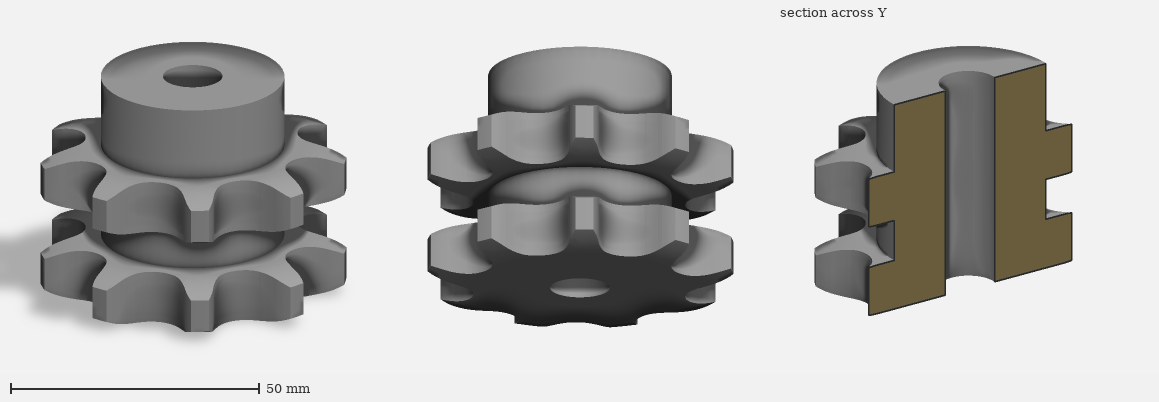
import cadquery as cq
import math


CHAIN_PITCH = 19.05
ROLLER_DIAMETER = 12.07
ROW_SPACING = 19.46

TEETH = 9
ROWS = 2
TIP_RADIUS = 31.0
PLATE_THICKNESS = 10.8
FIRST_TOOTH_ANGLE = -90.0
PITCH_RADIUS = CHAIN_PITCH / (2 * math.sin(math.pi / TEETH))

RELIEF_RADIUS = 19.0
RELIEF_DEPTH = 2.0

HUB_DIAMETER = 37.0
BORE_DIAMETER = 12.0
TOTAL_HEIGHT = 45.0

SEAT_CLEARANCE = 0.0381
SEAT_RADIUS = 0.5025 * ROLLER_DIAMETER + SEAT_CLEARANCE
SEAT_END_ANGLE = 35 + 60 / TEETH
WORKING_SWEEP = 18 - 56 / TEETH
WORKING_CENTER_DISTANCE = 0.8 * ROLLER_DIAMETER
WORKING_RADIUS = WORKING_CENTER_DISTANCE + SEAT_RADIUS
TOPPING_CENTER_DISTANCE = 1.4 * ROLLER_DIAMETER
TOPPING_CENTER_ANGLE = -180 / TEETH
TIP_OVERCUT = 0.3


def polar(center, radius, degrees):
    """Point at a radius and angle from a centre."""
    angle = math.radians(degrees)
    return (center[0] + radius * math.cos(angle), center[1] + radius * math.sin(angle))


def mirrored(point):
    """Point on the opposite flank of the gap."""
    return (-point[0], point[1])


def gap_cutter():
    """Prism of one tooth gap, with its roller on the +Y axis and one plate thick."""
    roller = (0, PITCH_RADIUS)

    seat_bottom = polar(roller, SEAT_RADIUS, -90)
    seat_end = polar(roller, SEAT_RADIUS, -SEAT_END_ANGLE)
    working_center = polar(roller, WORKING_CENTER_DISTANCE, 180 - SEAT_END_ANGLE)
    working_end_angle = WORKING_SWEEP - SEAT_END_ANGLE
    working_middle = polar(working_center, WORKING_RADIUS, working_end_angle - WORKING_SWEEP / 2)
    working_end = polar(working_center, WORKING_RADIUS, working_end_angle)

    topping_center = polar(roller, TOPPING_CENTER_DISTANCE, TOPPING_CENTER_ANGLE)
    normal = math.radians(working_end_angle)
    offset_x = topping_center[0] - working_end[0]
    offset_y = topping_center[1] - working_end[1]
    topping_radius = offset_x * math.cos(normal) + offset_y * math.sin(normal)
    topping_start_angle = 180 + working_end_angle
    topping_start = polar(topping_center, topping_radius, topping_start_angle)

    outer_radius = TIP_RADIUS + TIP_OVERCUT
    center_distance = math.hypot(*topping_center)
    excess = outer_radius**2 - center_distance**2 - topping_radius**2
    cosine = excess / (2 * center_distance * topping_radius)
    center_direction = math.degrees(math.atan2(topping_center[1], topping_center[0]))
    topping_end_angle = center_direction + math.degrees(math.acos(cosine))
    topping_middle = polar(topping_center, topping_radius, (topping_start_angle + topping_end_angle) / 2)
    topping_end = polar(topping_center, topping_radius, topping_end_angle)

    return (
        cq.Workplane("XY")
        .moveTo(*seat_end)
        .threePointArc(working_middle, working_end)
        .lineTo(*topping_start)
        .threePointArc(topping_middle, topping_end)
        .threePointArc((0, outer_radius), mirrored(topping_end))
        .threePointArc(mirrored(topping_middle), mirrored(topping_start))
        .lineTo(*mirrored(working_end))
        .threePointArc(mirrored(working_middle), mirrored(seat_end))
        .threePointArc(seat_bottom, seat_end)
        .close()
        .extrude(PLATE_THICKNESS)
    )


def plate_blank():
    """Disc whose rim curves in on both sides, tangent to its flat faces."""
    rim_drop = RELIEF_RADIUS - RELIEF_DEPTH
    relief_start = TIP_RADIUS - math.sqrt(RELIEF_RADIUS**2 - rim_drop**2)
    half_sweep = math.degrees(math.acos(rim_drop / RELIEF_RADIUS)) / 2
    lower_middle = polar((relief_start, RELIEF_RADIUS), RELIEF_RADIUS, half_sweep - 90)
    upper_middle = (lower_middle[0], PLATE_THICKNESS - lower_middle[1])
    return (
        cq.Workplane("XZ")
        .lineTo(relief_start, 0)
        .threePointArc(lower_middle, (TIP_RADIUS, RELIEF_DEPTH))
        .lineTo(TIP_RADIUS, PLATE_THICKNESS - RELIEF_DEPTH)
        .threePointArc(upper_middle, (relief_start, PLATE_THICKNESS))
        .lineTo(0, PLATE_THICKNESS)
        .close()
        .revolve(360, (0, 0, 0), (0, 1, 0))
    )


def toothed_plate():
    """One row of teeth, with its lower face at Z = 0."""
    plate = plate_blank()
    cutter = gap_cutter()
    tooth_step = 360 / TEETH
    first_gap_turn = FIRST_TOOTH_ANGLE + tooth_step / 2 - 90
    for gap in range(TEETH):
        turn = first_gap_turn + gap * tooth_step
        plate = plate.cut(cutter.rotate((0, 0, 0), (0, 0, 1), turn))
    return plate


def sprocket():
    """Hub with both tooth rows, bored through."""
    body = cq.Workplane("XY").circle(HUB_DIAMETER / 2).extrude(TOTAL_HEIGHT)
    plate = toothed_plate()
    for row in range(ROWS):
        body = body.union(plate.translate((0, 0, row * ROW_SPACING)))
    bore = cq.Workplane("XY").circle(BORE_DIAMETER / 2).extrude(TOTAL_HEIGHT)
    return body.cut(bore)


result = sprocket()